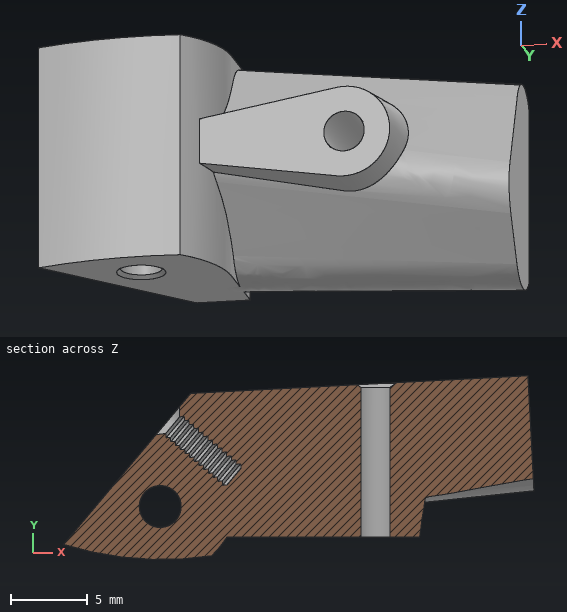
import cadquery as cq
import math

BLOCK_HEIGHT = 15.0
TIP = (-6.3, -2.48)
BACK_LEFT_X = 1.98
RIGHT_X = 5.54
FRONT_RIGHT = (3.35, -3.22)
FRONT_LOW_Y = -3.46
CHEEK_TOP_Y = 2.0

PIVOT_D = 2.7
COUNTERSINK_D = 3.2
SCREW_MINOR_D = 1.62
SCREW_MAJOR_D = 2.0
SCREW_MOUTH_D = 2.5
SCREW_PITCH = 0.4
SCREW_TURNS = 13
SCREW_FROM_BACK = 2.33

ARM_YAW = 3.0
ARM_START_X = 4.0
ARM_END_X = 24.34
ARM_BACK_Y = 7.25
NOSE_R = 3.1
START_BACK_TOP_Z = 5.85
START_BEVEL_TOP = (6.87, 6.5)
START_CREST_TOP = (4.8, 7.46)
START_FLAT_TOP = (2.25, 6.1)
START_NOSE = (1.75, 0.15)
START_FLAT_BOTTOM = (2.3, -5.85)
START_CREST_BOTTOM = (4.8, -7.48)
START_BACK_BOTTOM_Z = -5.75
END_BACK_TOP_Z = 4.36
END_BEVEL_TOP = (7.06, 4.68)
END_CREST_TOP = (5.0, 5.46)
END_FLAT_TOP = (2.8, 4.0)
END_NOSE = (2.84, -2.72)
END_FLAT_BOTTOM = (2.7, -7.45)
END_CREST_BOTTOM = (5.3, -8.38)
END_BACK_BOTTOM_Z = -7.35

LUG_X = 14.0
LUG_Z = 0.54
LUG_R = 3.05
LUG_FACE_Y = -2.0
LUG_DEPTH = 6.0
LUG_ROOT_X = 2.5
LUG_SIDE_ANGLE = 9.3
LUG_DRAFT = 8.0


def back_point(x):
    """Point at x on the back plane that the block and the yawed arm share."""
    yaw = math.radians(ARM_YAW)
    return (x, ARM_BACK_Y / math.cos(yaw) + x * math.tan(yaw))


BACK_LEFT = back_point(BACK_LEFT_X)
BACK_RIGHT = back_point(RIGHT_X)


def make_block():
    """Prism with a slanted flat, an arched front and a rounded cheek."""
    front_dy = FRONT_RIGHT[1] - CHEEK_TOP_Y
    front_dx = RIGHT_X - FRONT_RIGHT[0]
    cheek_r = (front_dx**2 + front_dy**2) / (2 * front_dx)
    half_sweep = math.asin(-front_dy / cheek_r) / 2
    cheek_mid = (
        RIGHT_X - cheek_r * (1 - math.cos(half_sweep)),
        CHEEK_TOP_Y - cheek_r * math.sin(half_sweep),
    )
    return (
        cq.Workplane("XY", origin=(0, 0, -BLOCK_HEIGHT / 2))
        .moveTo(*TIP)
        .threePointArc((0, FRONT_LOW_Y), FRONT_RIGHT)
        .threePointArc(cheek_mid, (RIGHT_X, CHEEK_TOP_Y))
        .lineTo(*BACK_RIGHT)
        .lineTo(*BACK_LEFT)
        .close()
        .extrude(BLOCK_HEIGHT)
    )


def on_nose(center, angle):
    return (center[0] + NOSE_R * math.cos(angle), center[1] + NOSE_R * math.sin(angle))


def nose_tangent_angle(center, point, side):
    """Angle on the nose round where a line from the point touches it on its -Y side."""
    dy = point[0] - center[0]
    dz = point[1] - center[1]
    return math.atan2(dz, dy) % (2 * math.pi) + side * math.acos(NOSE_R / math.hypot(dy, dz))


def arm_section(x, nose, upper, lower):
    """Rounded triangle: upper and lower list points from the back to the slanted flat."""
    back_top_z, bevel_top, crest_top, flat_top = upper
    back_bottom_z, crest_bottom, flat_bottom = lower
    upper_angle = nose_tangent_angle(nose, flat_top, 1)
    lower_angle = nose_tangent_angle(nose, flat_bottom, -1)
    return (
        cq.Workplane("YZ", origin=(x, 0, 0))
        .moveTo(ARM_BACK_Y, back_top_z)
        .lineTo(*bevel_top)
        .threePointArc(crest_top, flat_top)
        .lineTo(*on_nose(nose, upper_angle))
        .threePointArc(on_nose(nose, (upper_angle + lower_angle) / 2), on_nose(nose, lower_angle))
        .lineTo(*flat_bottom)
        .threePointArc(crest_bottom, (ARM_BACK_Y, back_bottom_z))
        .close()
        .val()
    )


def make_arm():
    start = arm_section(
        ARM_START_X,
        START_NOSE,
        (START_BACK_TOP_Z, START_BEVEL_TOP, START_CREST_TOP, START_FLAT_TOP),
        (START_BACK_BOTTOM_Z, START_CREST_BOTTOM, START_FLAT_BOTTOM),
    )
    end = arm_section(
        ARM_END_X,
        END_NOSE,
        (END_BACK_TOP_Z, END_BEVEL_TOP, END_CREST_TOP, END_FLAT_TOP),
        (END_BACK_BOTTOM_Z, END_CREST_BOTTOM, END_FLAT_BOTTOM),
    )
    arm = cq.Workplane(cq.Solid.makeLoft([start, end], True))
    return arm.rotate((0, 0, 0), (0, 0, 1), ARM_YAW)


def make_lug():
    """Teardrop that widens from its front face into the arm and the block."""
    side = math.radians(LUG_SIDE_ANGLE)
    tangent_x = LUG_X - LUG_R * math.sin(side)
    tangent_dz = LUG_R * math.cos(side)
    root_dz = tangent_dz - (tangent_x - LUG_ROOT_X) * math.tan(side)
    return (
        cq.Workplane("XZ", origin=(0, LUG_FACE_Y, 0))
        .moveTo(LUG_ROOT_X, LUG_Z - root_dz)
        .lineTo(tangent_x, LUG_Z - tangent_dz)
        .threePointArc((LUG_X + LUG_R, LUG_Z), (tangent_x, LUG_Z + tangent_dz))
        .lineTo(LUG_ROOT_X, LUG_Z + root_dz)
        .close()
        .extrude(-LUG_DEPTH, taper=-LUG_DRAFT)
    )


def countersunk_cutter(start, direction, length):
    """Pivot sized hole that begins with a 45 degree countersink at the start point."""
    sink = (COUNTERSINK_D - PIVOT_D) / 2
    hole = cq.Solid.makeCylinder(PIVOT_D / 2, length, start, direction)
    mouth = cq.Solid.makeCone(COUNTERSINK_D / 2, PIVOT_D / 2, sink, start, direction)
    return hole.fuse(mouth)


def cut_pivot_hole(body):
    half = BLOCK_HEIGHT / 2
    for end in (-1, 1):
        start = cq.Vector(0, 0, end * half)
        body = body.cut(countersunk_cutter(start, cq.Vector(0, 0, -end), BLOCK_HEIGHT))
    return body


def cut_cross_hole(body):
    """Through hole along Y, countersunk where it leaves the back of the arm."""
    clearance = 1.0
    back_y = back_point(LUG_X)[1]
    start = cq.Vector(LUG_X, back_y, LUG_Z)
    length = back_y - LUG_FACE_Y + clearance
    body = body.cut(countersunk_cutter(start, cq.Vector(0, -1, 0), length))
    exit_hole = cq.Solid.makeCylinder(COUNTERSINK_D / 2, clearance, start, cq.Vector(0, 1, 0))
    return body.cut(exit_hole)


def cut_screw_hole(body):
    """Blind screw hole square to the slanted face, with ring shaped thread grooves."""
    face = cq.Vector(TIP[0] - BACK_LEFT[0], TIP[1] - BACK_LEFT[1], 0).normalized()
    mouth = cq.Vector(*BACK_LEFT, 0) + face * SCREW_FROM_BACK
    minor_r = SCREW_MINOR_D / 2
    sink = SCREW_MOUTH_D / 2 - minor_r
    profile = cq.Workplane(cq.Plane(mouth, xDir=face, normal=cq.Vector(0, 0, 1)))
    profile = profile.moveTo(0, 0).lineTo(SCREW_MOUTH_D / 2, 0).lineTo(minor_r, sink)
    for turn in range(SCREW_TURNS):
        depth = sink + turn * SCREW_PITCH
        profile = profile.lineTo(SCREW_MAJOR_D / 2, depth + SCREW_PITCH / 2)
        profile = profile.lineTo(minor_r, depth + SCREW_PITCH)
    bottom = sink + SCREW_TURNS * SCREW_PITCH
    cutter = profile.lineTo(0, bottom).close().revolve(360, (0, 0), (0, 1))
    return body.cut(cutter)


result = make_block().union(make_arm()).union(make_lug())
result = cut_pivot_hole(result)
result = cut_cross_hole(result)
result = cut_screw_hole(result)